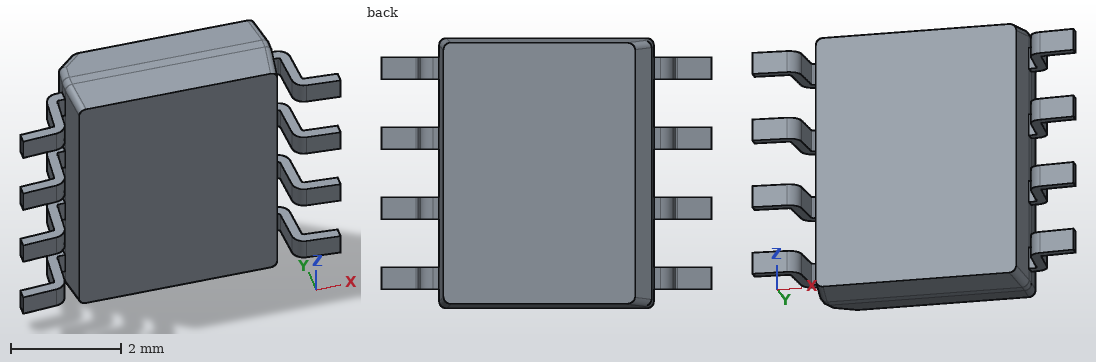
import cadquery as cq
import math

overall_width = 5.99
lead_thickness = 0.19
lead_width = 0.4
lead_pitch = 1.27
leads_per_side = 4

housing_width = 3.9
housing_length = 4.9
upper_height = 0.665
lower_height = 0.645
draft_angle = 7.0
corner_radius = 0.13
bevel_drop = 0.3
band_top = lead_thickness / 2
band_bottom = -lead_thickness / 2
housing_top = band_top + upper_height

lead_tilt = 4.0
inner_bend_radius = 0.04
shoulder_x = 2.06
leg_length = 0.595


def make_half(height, direction):
    """Tapered housing half that starts on the band and goes up (+1) or down (-1) along Y."""
    base = cq.Plane(
        origin=(0, direction * lead_thickness / 2, 0),
        xDir=(1, 0, 0),
        normal=(0, direction, 0),
    )
    return cq.Workplane(base).rect(housing_width, housing_length).extrude(height, taper=draft_angle)


def make_bevel_cutter():
    """45 degree wedge that bevels the long upper edge on the -X side, the pin 1 side."""
    wall_inset = (upper_height - bevel_drop) * math.tan(math.radians(draft_angle))
    bevel_x = -housing_width / 2 + wall_inset
    bevel_y = housing_top - bevel_drop
    cut_start = -bevel_drop
    cut_end = 2 * bevel_drop
    return (
        cq.Workplane("XY")
        .moveTo(bevel_x + cut_start, bevel_y + cut_start)
        .lineTo(bevel_x + cut_end, bevel_y + cut_end)
        .lineTo(bevel_x + cut_start, bevel_y + cut_end)
        .close()
        .extrude(housing_length / 2, both=True)
    )


def make_housing():
    band = cq.Workplane("XY").box(housing_width, lead_thickness, housing_length)
    housing = band.union(make_half(upper_height, 1)).union(make_half(lower_height, -1))
    housing = housing.cut(make_bevel_cutter())
    corner_edges = housing.edges("not(|X or |Z)")
    return corner_edges.fillet(corner_radius)


def polar(center, radius, degrees):
    """Point at a radius and a direction from a center; 0 degrees is +X, 90 degrees is +Y."""
    angle = math.radians(degrees)
    return center[0] + radius * math.cos(angle), center[1] + radius * math.sin(angle)


def make_lead(side, center_z):
    """Lead on the +X (side = 1) or -X (side = -1) wall of the housing."""
    wall_x = housing_width / 2
    foot_end_x = overall_width / 2
    outer_bend_radius = inner_bend_radius + lead_thickness

    shoulder = (shoulder_x, band_bottom - inner_bend_radius)
    heel_above = polar(shoulder, inner_bend_radius + outer_bend_radius, lead_tilt)
    heel = polar(heel_above, leg_length, lead_tilt - 90)

    shoulder_start, shoulder_end = 90, lead_tilt
    heel_start, heel_end = 180 + lead_tilt, 270 - lead_tilt
    shoulder_middle = (shoulder_start + shoulder_end) / 2
    heel_middle = (heel_start + heel_end) / 2

    def foot_end(radius):
        start_x, start_y = polar(heel, radius, heel_end)
        return foot_end_x, start_y - (foot_end_x - start_x) * math.tan(math.radians(lead_tilt))

    profile = (
        cq.Workplane("XY", origin=(0, 0, center_z))
        .moveTo(wall_x, band_bottom)
        .lineTo(*polar(shoulder, inner_bend_radius, shoulder_start))
        .threePointArc(
            polar(shoulder, inner_bend_radius, shoulder_middle),
            polar(shoulder, inner_bend_radius, shoulder_end),
        )
        .lineTo(*polar(heel, outer_bend_radius, heel_start))
        .threePointArc(
            polar(heel, outer_bend_radius, heel_middle),
            polar(heel, outer_bend_radius, heel_end),
        )
        .lineTo(*foot_end(outer_bend_radius))
        .lineTo(*foot_end(inner_bend_radius))
        .lineTo(*polar(heel, inner_bend_radius, heel_end))
        .threePointArc(
            polar(heel, inner_bend_radius, heel_middle),
            polar(heel, inner_bend_radius, heel_start),
        )
        .lineTo(*polar(shoulder, outer_bend_radius, shoulder_end))
        .threePointArc(
            polar(shoulder, outer_bend_radius, shoulder_middle),
            polar(shoulder, outer_bend_radius, shoulder_start),
        )
        .lineTo(wall_x, band_top)
        .close()
    )
    lead = profile.extrude(lead_width / 2, both=True)
    return lead if side > 0 else lead.mirror("YZ")


housing = make_housing()

leads = []
for side in (-1, 1):
    for row in range(leads_per_side):
        center_z = (row - (leads_per_side - 1) / 2) * lead_pitch
        leads.append(make_lead(side, center_z).val())

result = cq.Compound.makeCompound([housing.val(), *leads])